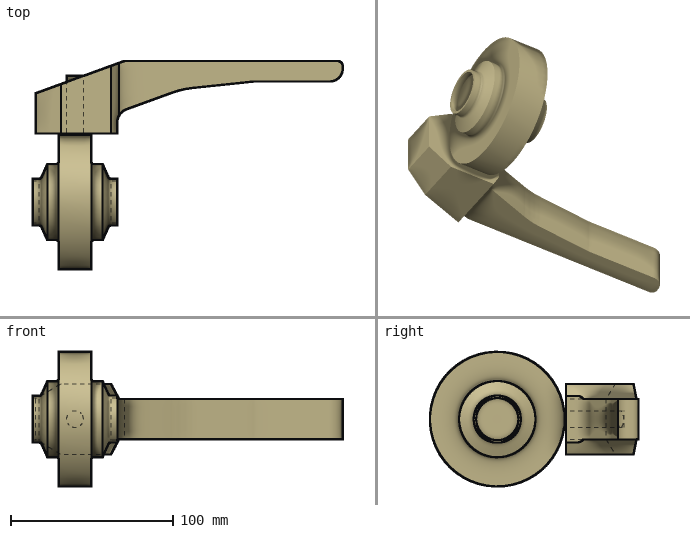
import cadquery as cq
import math


overall_length = 191
overall_depth = 128.5

disc_radius = 83.0 / 2
disc_half_width = 10.1
collar_radius = 23.5
collar_end = 17.0
hub_radius = 14.5
cone_end = 21.0
hub_end = 52.1 / 2
root_fillet = 1.1
recess_radius = 13.0
recess_depth = 4.0

stud_radius = 5.2
stud_end = 78.0

head_base_y = 42.2
head_left = -24.3
head_right = hub_end
head_half_height = 21.8
head_flat_left = -8.5
head_flat_right = 22.2

arm_start = 27.1
arm_half_height = 12.5
arm_top_y = overall_depth - disc_radius
arm_thickness = 12.8
arm_end = overall_length - hub_end
arm_under_y = arm_top_y - arm_thickness
slope = math.tan(math.radians(20))
slope_end = 30.5
taper = math.tan(math.radians(6))
taper_end = 110.4
taper_start = 65.9
throat_fillet = 8.5
bend_fillet = 51.5
taper_fillet = 9.5
tip_top_fillet = 3.5
tip_under_fillet = 8.0


def fillet_corner(body, corner, radius):
    """Round the edge along Z that passes through an XY corner of a prism."""
    nearest = cq.selectors.NearestToPointSelector((*corner, 0))
    return body.edges("|Z").edges(nearest).fillet(radius)


def make_turned_body():
    """Disc, collars, cones and recessed hubs, turned about X, with rounded inside corners."""
    recess_floor = hub_end - recess_depth
    right_profile = [
        (disc_half_width, disc_radius),
        (disc_half_width, collar_radius),
        (collar_end, collar_radius),
        (cone_end, hub_radius),
        (hub_end, hub_radius),
        (hub_end, recess_radius),
        (recess_floor, recess_radius),
        (recess_floor, 0),
    ]
    left_profile = [(-x, radius) for x, radius in reversed(right_profile)]
    body = (
        cq.Workplane("XY")
        .polyline(left_profile + right_profile)
        .close()
        .revolve(360, (0, 0, 0), (1, 0, 0))
    )

    def is_root(edge):
        place = (abs(edge.Center().x), edge.radius())
        roots = [(disc_half_width, collar_radius), (cone_end, hub_radius)]
        return any(math.dist(place, root) < root_fillet / 2 for root in roots)

    return body.edges("%CIRCLE").filter(is_root).fillet(root_fillet)


def make_stud():
    """Round stud that starts inside the disc and ends beyond the lever head."""
    stud_start = disc_radius / 2
    return (
        cq.Workplane("XZ", origin=(0, stud_start, 0))
        .circle(stud_radius)
        .extrude(stud_start - stud_end)
    )


def make_roller():
    """Turned roller with the stud on its rim."""
    return make_turned_body().union(make_stud())


def make_lever_profile():
    """Lever shape in the XY plane, as a prism of the full head height."""
    taper_start_y = arm_under_y - (taper_end - taper_start) * taper
    throat = (head_right, taper_start_y - (taper_start - head_right) * slope)
    bend = (taper_start, taper_start_y)
    taper_corner = (taper_end, arm_under_y)
    tip_under = (arm_end, arm_under_y)
    tip_top = (arm_end, arm_top_y)
    profile = (
        cq.Workplane("XY")
        .polyline([
            (head_left, head_base_y),
            (head_right, head_base_y),
            throat,
            bend,
            taper_corner,
            tip_under,
            tip_top,
            (slope_end, arm_top_y),
            (head_left, arm_top_y - (slope_end - head_left) * slope),
        ])
        .close()
        .extrude(head_half_height, both=True)
    )
    roundings = [
        (throat, throat_fillet),
        (bend, bend_fillet),
        (taper_corner, taper_fillet),
        (tip_under, tip_under_fillet),
        (tip_top, tip_top_fillet),
    ]
    for corner, radius in roundings:
        profile = fillet_corner(profile, corner, radius)
    return profile


def make_lever_height():
    """Chamfered head and narrower arm in the XZ plane, as a prism along Y."""
    upper_edge = [
        (head_left, arm_half_height),
        (head_flat_left, head_half_height),
        (head_flat_right, head_half_height),
        (arm_start, arm_half_height),
        (arm_end, arm_half_height),
    ]
    lower_edge = [(x, -z) for x, z in reversed(upper_edge)]
    return cq.Workplane("XZ").polyline(upper_edge + lower_edge).close().extrude(-arm_top_y)


def make_lever():
    """Lever with a through hole that fits the stud."""
    return make_lever_profile().intersect(make_lever_height()).cut(make_stud())


roller = make_roller()
lever = make_lever()

result = cq.Compound.makeCompound([roller.solids().val(), lever.solids().val()])